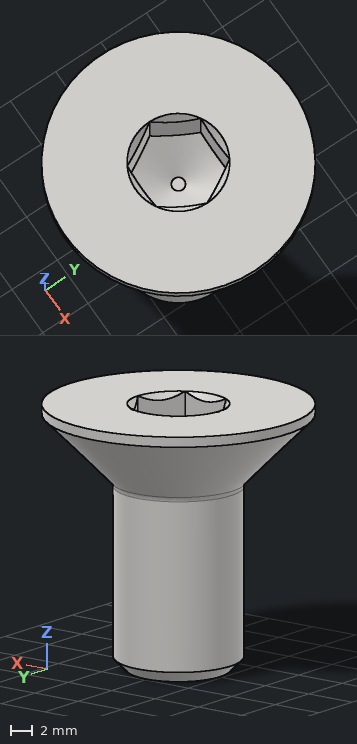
import cadquery as cq
import math

FULL_TURN = 360.0

TOTAL_LENGTH = 25.0
HEAD_DIAMETER = 25.0
SHANK_DIAMETER = 12.0
RIM_HEIGHT = 0.95
HEAD_HALF_ANGLE = 45.0
NECK_FILLET = 0.65
TIP_CHAMFER = 1.2

HEXAGON_SIDES = 6
SOCKET_ACROSS_FLATS = 8.115
SOCKET_CORNER_DEPTH = 4.3
SOCKET_ENTRY_ANGLE = 45.0
SOCKET_FLOOR_SLOPE = 30.0
SOCKET_FLOOR_FLAT_DIAMETER = 1.3

head_radius = HEAD_DIAMETER / 2
shank_radius = SHANK_DIAMETER / 2
rim_bottom_z = TOTAL_LENGTH - RIM_HEIGHT
neck_z = rim_bottom_z - (head_radius - shank_radius) / math.tan(math.radians(HEAD_HALF_ANGLE))
socket_across_corners = SOCKET_ACROSS_FLATS / math.cos(math.pi / HEXAGON_SIDES)
socket_radius = socket_across_corners / 2
floor_flat_radius = SOCKET_FLOOR_FLAT_DIAMETER / 2


def revolve_about_axis(points):
    """Revolve a closed (radius, z) outline a full turn about the Z axis."""
    return cq.Workplane("XZ").polyline(points).close().revolve(FULL_TURN, (0, 0), (0, 1))


def make_blank():
    """Head and shank without the socket, with the neck fillet and chamfered tip."""
    blank = revolve_about_axis([
        (0, 0),
        (shank_radius - TIP_CHAMFER, 0),
        (shank_radius, TIP_CHAMFER),
        (shank_radius, neck_z),
        (head_radius, rim_bottom_z),
        (head_radius, TOTAL_LENGTH),
        (0, TOTAL_LENGTH),
    ])
    neck_edge = cq.selectors.BoxSelector(
        (-head_radius, -head_radius, neck_z - NECK_FILLET),
        (head_radius, head_radius, neck_z + NECK_FILLET),
        boundingbox=True,
    )
    return blank.edges(neck_edge).fillet(NECK_FILLET)


def make_socket():
    """Hexagonal cavity closed by a conical floor, plus the conical entry that trims its mouth."""
    corner_z = TOTAL_LENGTH - SOCKET_CORNER_DEPTH
    floor_drop = (socket_radius - floor_flat_radius) * math.tan(math.radians(SOCKET_FLOOR_SLOPE))
    floor_z = corner_z - floor_drop
    hexagon = (
        cq.Workplane("XY", origin=(0, 0, floor_z))
        .polygon(HEXAGON_SIDES, socket_across_corners)
        .extrude(TOTAL_LENGTH - floor_z)
    )
    floor_envelope = revolve_about_axis([
        (0, floor_z),
        (floor_flat_radius, floor_z),
        (socket_radius, corner_z),
        (socket_radius, TOTAL_LENGTH),
        (0, TOTAL_LENGTH),
    ])
    entry_depth = socket_radius / math.tan(math.radians(SOCKET_ENTRY_ANGLE))
    entry_cone = revolve_about_axis([
        (0, TOTAL_LENGTH - entry_depth),
        (socket_radius, TOTAL_LENGTH),
        (0, TOTAL_LENGTH),
    ])
    return hexagon.intersect(floor_envelope).union(entry_cone)


result = make_blank().cut(make_socket())